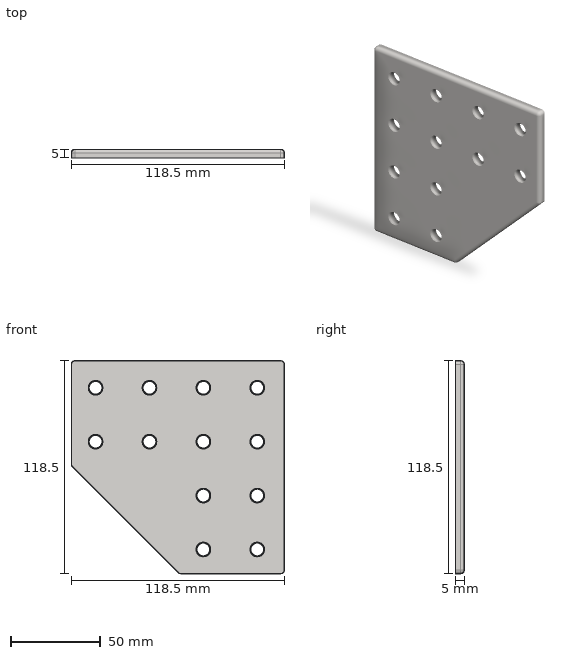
import cadquery as cq

side = 118.5
thickness = 5.0
corner_cut = 60.1
corner_radius = 2.0
back_edge_radius = 2.0

hole_pitch = 30.0
hole_edge_distance = 15.0
hole_diameter = 7.1
hole_chamfer = 0.5
holes_per_row = 4
full_rows = 2
leg_columns = 2


def plate():
    """Plate with rounded corners and a rounded rim on the back (+Y) face."""
    outline = [
        (corner_cut, 0),
        (side, 0),
        (side, side),
        (0, side),
        (0, corner_cut),
    ]
    body = cq.Workplane("XZ").polyline(outline).close().extrude(-thickness)
    body = body.edges("|Y").fillet(corner_radius)
    return body.faces(">Y").edges().fillet(back_edge_radius)


def hole_centers():
    """Full rows along the top, then a narrower leg down the right side."""
    centers = []
    for row in range(holes_per_row):
        columns = holes_per_row if row < full_rows else leg_columns
        for column in range(columns):
            x = side - hole_edge_distance - column * hole_pitch
            z = side - hole_edge_distance - row * hole_pitch
            centers.append((x, z))
    return centers


def drilled_plate():
    """Plate with through holes chamfered at both the front and back faces."""
    solid_plate = plate()
    holes = cq.Workplane("XZ").pushPoints(hole_centers()).circle(hole_diameter / 2).extrude(-thickness)
    drilled = solid_plate.cut(holes)
    hole_rims = drilled.faces("<Y or >Y").edges("%CIRCLE").edges(cq.selectors.RadiusNthSelector(-1))
    return hole_rims.chamfer(hole_chamfer)


result = drilled_plate()